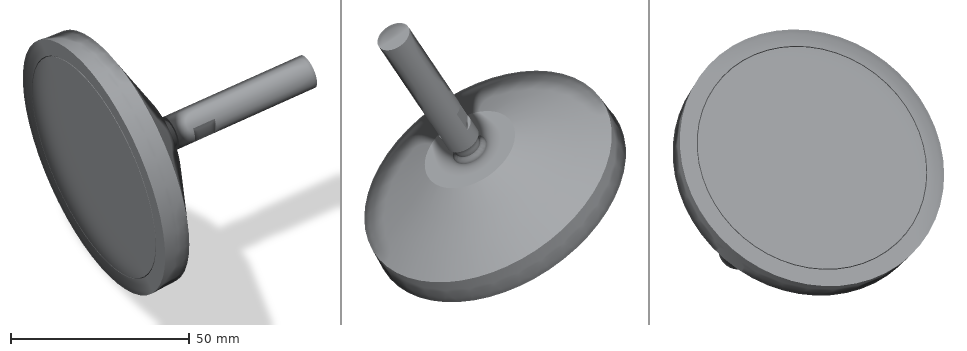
import cadquery as cq
import math


base_diameter = 78.0
rim_top_diameter = 77.0
rim_height = 8.2
crown_diameter = 28.1
base_height = 20.05

groove_outer_diameter = 68.0
groove_inner_diameter = 67.5
groove_depth = 0.8

overall_length = 70.0
stem_diameter = 10.0
shoulder_y = 24.9
neck_diameter = 7.8
neck_start_y = 21.5
ball_radius = 6.25

across_flats = 8.0
flats_start_y = 30.0
flats_length = 7.0

neck_radius = neck_diameter / 2
ball_center_y = neck_start_y - math.sqrt(ball_radius**2 - neck_radius**2)


def revolve_about_y(profile):
    """Revolve a closed profile in the XY plane about the Y axis."""
    return profile.revolve(360, (0, 0, 0), (0, 1, 0))


def make_ball():
    return cq.Workplane("XY").sphere(ball_radius).translate((0, ball_center_y, 0))


def cut_flats(stem):
    flat_depth = (stem_diameter - across_flats) / 2
    for side in (-1, 1):
        cutter = cq.Workplane("XY").box(flat_depth, flats_length, stem_diameter)
        cutter_x = side * (across_flats + flat_depth) / 2
        stem = stem.cut(cutter.translate((cutter_x, flats_start_y + flats_length / 2, 0)))
    return stem


def make_stem():
    stem_radius = stem_diameter / 2
    shank = revolve_about_y(
        cq.Workplane("XY")
        .moveTo(0, ball_center_y)
        .lineTo(neck_radius, ball_center_y)
        .lineTo(neck_radius, shoulder_y)
        .lineTo(stem_radius, shoulder_y)
        .lineTo(stem_radius, overall_length)
        .lineTo(0, overall_length)
        .close()
    )
    return cut_flats(shank.union(make_ball()))


def make_groove():
    return revolve_about_y(
        cq.Workplane("XY")
        .moveTo(groove_inner_diameter / 2, 0)
        .lineTo(groove_outer_diameter / 2, 0)
        .lineTo(groove_outer_diameter / 2, groove_depth)
        .lineTo(groove_inner_diameter / 2, groove_depth)
        .close()
    )


def make_base():
    body = revolve_about_y(
        cq.Workplane("XY")
        .moveTo(0, 0)
        .lineTo(base_diameter / 2, 0)
        .lineTo(rim_top_diameter / 2, rim_height)
        .lineTo(crown_diameter / 2, base_height)
        .lineTo(0, base_height)
        .close()
    )
    return body.cut(make_groove()).cut(make_ball())


base = make_base()
stem = make_stem()

result = cq.Compound.makeCompound([base.solids().val(), stem.solids().val()])